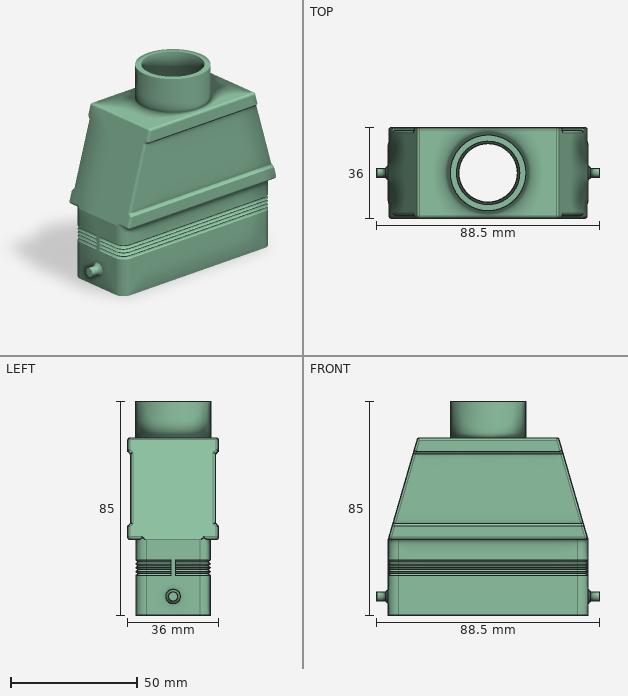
import cadquery as cq
import math

HOUSING_LENGTH = 79.3
HOUSING_WIDTH = 29.6
HOUSING_CORNER_RADIUS = 4.2

HOOD_BOTTOM = 30.1
HOOD_TOP = 70.45
HOOD_TOP_LENGTH = 55.9
HOOD_WIDTH = 36.0
BAND_HEIGHT = 5.3
BAND_RISE = 1.15
HOOD_EDGE_RADIUS = 1.0

COLLAR_TOP = 85.0
COLLAR_DIAMETER = 30.0
COLLAR_BORE = 25.1
LEDGE_HEIGHT = 72.9
LEDGE_FILLET = 0.4
CABLE_HOLE = 23.2

GROOVE_COUNT = 4
GROOVE_DEPTH = 0.9
GROOVES_BOTTOM = 15.8
GROOVES_HEIGHT = 6.2
RIB_WIDTH = 1.9

PIN_SPAN = 88.5
PIN_DIAMETER = 3.6
PIN_HEIGHT = 7.5
PIN_FLARE = 1.1

GROOVES_TOP = GROOVES_BOTTOM + GROOVES_HEIGHT
GROOVE_PITCH = GROOVES_HEIGHT / GROOVE_COUNT


def end_slopes():
    """Solid between the two sloping end faces, wider than the hood."""
    return (
        cq.Workplane("XZ")
        .polyline([
            (-HOUSING_LENGTH / 2, HOOD_BOTTOM),
            (HOUSING_LENGTH / 2, HOOD_BOTTOM),
            (HOOD_TOP_LENGTH / 2, HOOD_TOP),
            (-HOOD_TOP_LENGTH / 2, HOOD_TOP),
        ])
        .close()
        .extrude(HOOD_WIDTH, both=True)
    )


def housing_slice(bottom, top, taper=0.0):
    """Slice of the rounded housing outline between two heights, narrowing upward by the taper angle."""
    outline = (
        cq.Sketch()
        .rect(HOUSING_LENGTH, HOUSING_WIDTH)
        .vertices()
        .fillet(HOUSING_CORNER_RADIUS)
    )
    return (
        cq.Workplane("XY", origin=(0, 0, bottom))
        .placeSketch(outline)
        .extrude(top - bottom, taper=taper)
    )


def grooved_slice(bottom):
    """Slice one pitch tall whose sides narrow to the groove floor and widen again."""
    middle = bottom + GROOVE_PITCH / 2
    wall_angle = math.degrees(math.atan2(GROOVE_DEPTH, GROOVE_PITCH / 2))
    lower_half = housing_slice(bottom, middle, wall_angle)
    upper_half = lower_half.mirror("XY", (0, 0, middle))
    return lower_half.union(upper_half)


def make_housing():
    """Grooved lower box, with a neck that fills the rounded foot of the hood's sloping ends."""
    housing = housing_slice(0, GROOVES_BOTTOM)
    for index in range(GROOVE_COUNT):
        housing = housing.union(grooved_slice(GROOVES_BOTTOM + index * GROOVE_PITCH))
    housing = housing.union(housing_slice(GROOVES_TOP, HOOD_BOTTOM))
    rib = cq.Workplane("XY").box(HOUSING_LENGTH, RIB_WIDTH, GROOVES_TOP, centered=(True, True, False))
    neck = housing_slice(HOOD_BOTTOM, HOOD_BOTTOM + BAND_HEIGHT).intersect(end_slopes())
    return housing.union(rib).union(neck)


def make_hood():
    """Banded cross-section along X, trimmed by sloping ends, with rounded outer edges."""
    outer = HOOD_WIDTH / 2
    inner = outer - BAND_RISE
    half_section = [
        (outer, HOOD_BOTTOM),
        (outer, HOOD_BOTTOM + BAND_HEIGHT),
        (inner, HOOD_BOTTOM + BAND_HEIGHT + BAND_RISE),
        (inner, HOOD_TOP - BAND_HEIGHT - BAND_RISE),
        (outer, HOOD_TOP - BAND_HEIGHT),
        (outer, HOOD_TOP),
    ]
    mirrored = [(-y, z) for y, z in reversed(half_section)]
    section = (
        cq.Workplane("YZ").polyline(half_section + mirrored).close()
        .extrude(HOUSING_LENGTH / 2, both=True)
    )
    hood = section.intersect(end_slopes())
    return hood.faces("<Z or >Z or <X or >X").edges().fillet(HOOD_EDGE_RADIUS)


def make_collar():
    """Plain round collar, rooted slightly below the top of the hood."""
    return (
        cq.Workplane("XY", origin=(0, 0, HOOD_TOP - HOOD_EDGE_RADIUS))
        .circle(COLLAR_DIAMETER / 2)
        .extrude(COLLAR_TOP - HOOD_TOP + HOOD_EDGE_RADIUS)
    )


def make_pin(direction):
    """Pin with a conical root, pointing along +X or -X, made by revolving its half section."""
    face = direction * HOUSING_LENGTH / 2
    tip = direction * PIN_SPAN / 2
    flare_end = face + direction * PIN_FLARE
    radius = PIN_DIAMETER / 2
    return (
        cq.Workplane("XY", origin=(0, 0, PIN_HEIGHT))
        .moveTo(0, 0)
        .lineTo(0, radius + PIN_FLARE)
        .lineTo(face, radius + PIN_FLARE)
        .lineTo(flare_end, radius)
        .lineTo(tip, radius)
        .lineTo(tip, 0)
        .close()
        .revolve(360, (0, 0, 0), (1, 0, 0))
    )


def cable_passage():
    """Through hole for the cable, widened inside the collar down to a ledge with a rounded corner."""
    hole = cq.Workplane("XY").circle(CABLE_HOLE / 2).extrude(COLLAR_TOP)
    bore = (
        cq.Workplane("XY", origin=(0, 0, LEDGE_HEIGHT))
        .circle(COLLAR_BORE / 2)
        .extrude(COLLAR_TOP - LEDGE_HEIGHT)
        .faces("<Z")
        .edges()
        .fillet(LEDGE_FILLET)
    )
    return hole.union(bore)


result = make_housing().union(make_hood()).union(make_collar())
for end in (-1, 1):
    result = result.union(make_pin(end))
result = result.cut(cable_passage())